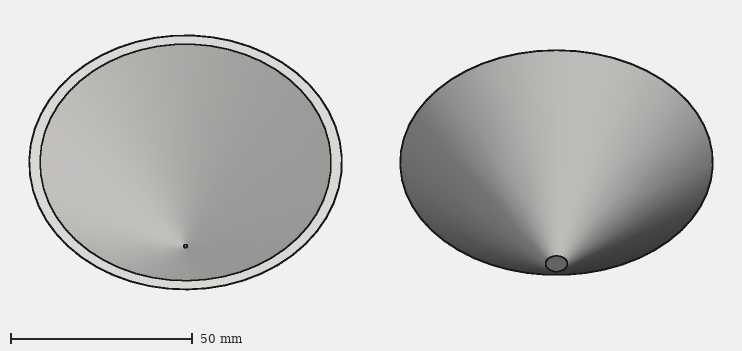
import cadquery as cq

height = 40.0
rim_inner_radius = 40.0
wall = 3.0
floor_thickness = 0.5

rim_outer_radius = rim_inner_radius + wall
tip_outer_radius = rim_outer_radius - height
floor_radius = rim_inner_radius - (height - floor_thickness)


def cup_section():
    """Half section of the conical cup in the XZ plane, closed along the Z axis."""
    return (
        cq.Workplane("XZ")
        .moveTo(0, 0)
        .lineTo(tip_outer_radius, 0)
        .lineTo(rim_outer_radius, height)
        .lineTo(rim_inner_radius, height)
        .lineTo(floor_radius, floor_thickness)
        .lineTo(0, floor_thickness)
        .close()
    )


result = cup_section().revolve(360, (0, 0, 0), (0, 1, 0))